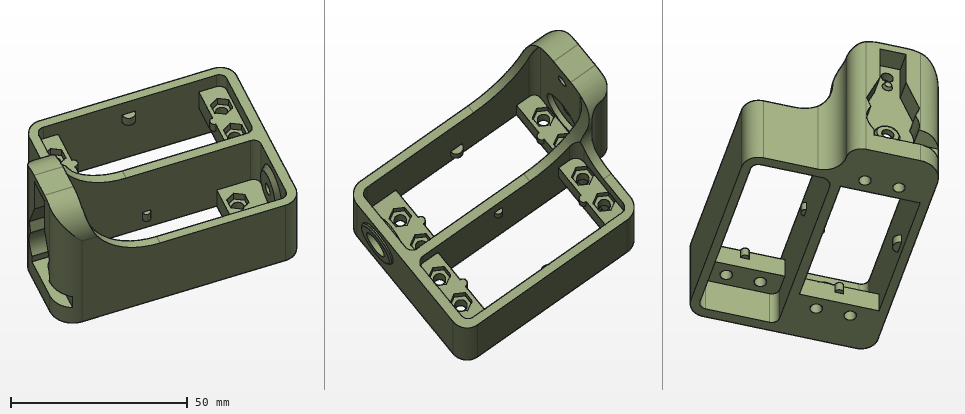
import cadquery as cq
import math


width = 55.0
body_front = 11.0
body_back = 74.0
body_height = 24.0
corner_radius = 5.0

tower_height = 46.0
tower_left = 27.5
tower_left_radius = 4.5
tower_right_radius = 7.0
blend_radius = body_front - tower_left_radius
shoulder_radius = (tower_height - body_height) / 2
shoulder_x = 25.0
tower_back = 8.8
sweep_radius = tower_height - body_height

bay_width = 23.4
bay_back = 71.0
bay_corner_radius = 2.3
bay_divider_corner_radius = 3.0
bay_offset = 13.15
bay_stagger = 5.0
right_bay_front = tower_back
right_bay_middle = 37.0
opening_length = 42.8
ledge_thickness = 7.0
left_ledge_top = 19.0
right_ledge_top = ledge_thickness
left_side = -1
right_side = 1

screw_hole = 3.5
screw_pitch_x = 10.0
screw_pitch_y = 50.8
screw_group_offset = 12.5
nut_across_flats = 5.5
nut_depth = 2.5

pin_diameter = 2.5
wide_pin_diameter = 4.0
pin_length = 3.0

axis_x = 40.0
axis_z = 14.5
horn_wall = 2.7
horn_depth = tower_back - horn_wall
horn_top = 43.4
horn_neck_half = 3.8
horn_neck_bottom = 31.6
horn_shoulder_half = 7.75
horn_shoulder_z = 21.9
horn_waist_half = 6.55
horn_waist_z = 18.4
horn_foot_half = 5.6
horn_foot_top = 9.15
horn_bottom = 6.8
horn_hub_radius = 7.75

hub_diameter = 7.5
hub_height = 0.7
hub_taper = 0.5
tip_hole_z = 39.0
stud_z = 35.0
stud_diameter = 3.0
stud_height = 1.0
stud_taper = 0.5

channel_depth = 4.4
channel_front_top = 12.7
channel_back_top = 11.4

boss_diameter = 14.0
boss_outer_height = 1.0
boss_outer_chamfer = 0.5
boss_inner_height = 1.5
boss_inner_taper = 1.5

tower_counterbore_diameter = boss_diameter
tower_counterbore_depth = 1.7
boss_counterbore_diameter = 8.2
boss_counterbore_depth = 4.0


def block(x0, x1, y0, y1, z0, z1):
    """Box between two opposite corners."""
    return cq.Workplane("XY").box(x1 - x0, y1 - y0, z1 - z0, centered=False).translate((x0, y0, z0))


def rod(diameter, x, y0, y1, z):
    """Cylinder along Y from y0 to y1."""
    axis = cq.Vector(0, 1, 0)
    return cq.Workplane(cq.Solid.makeCylinder(diameter / 2, y1 - y0, cq.Vector(x, y0, z), axis))


def cone_toward_front(base_diameter, taper, height, x, y, z):
    """Frustum standing on a wall face at y, narrowing by the taper per side toward -Y."""
    base_radius = base_diameter / 2
    top_radius = base_radius - taper
    axis = cq.Vector(0, -1, 0)
    return cq.Workplane(cq.Solid.makeCone(base_radius, top_radius, height, cq.Vector(x, y, z), axis))


def plan_outline():
    """Full-height prism of the box and tower, joined by an S-shaped blend."""
    blend_x = tower_left - blend_radius
    tower_flat = tower_left + tower_left_radius
    outline = (
        cq.Workplane("XY")
        .moveTo(corner_radius, body_front)
        .lineTo(blend_x, body_front)
        .radiusArc((tower_left, tower_left_radius), blend_radius)
        .radiusArc((tower_flat, 0), -tower_left_radius)
        .lineTo(width - tower_right_radius, 0)
        .radiusArc((width, tower_right_radius), -tower_right_radius)
        .lineTo(width, body_back - corner_radius)
        .radiusArc((width - corner_radius, body_back), -corner_radius)
        .lineTo(corner_radius, body_back)
        .radiusArc((0, body_back - corner_radius), -corner_radius)
        .lineTo(0, body_front + corner_radius)
        .radiusArc((corner_radius, body_front), -corner_radius)
        .close()
    )
    return outline.extrude(tower_height)


def front_silhouette():
    """Low box rising over an S-curve to the rounded tower, extruded along Y."""
    r = shoulder_radius
    middle_z = body_height + r
    profile = (
        cq.Workplane("XZ")
        .lineTo(width, 0)
        .lineTo(width, middle_z)
        .radiusArc((width - r, tower_height), -r)
        .lineTo(shoulder_x + r, tower_height)
        .radiusArc((shoulder_x, middle_z), -r)
        .radiusArc((shoulder_x - r, body_height), r)
        .lineTo(0, body_height)
        .close()
    )
    return profile.extrude(-body_back)


def side_silhouette():
    """Tower sweeping down in a quarter circle to the box rim, extruded along X."""
    profile = (
        cq.Workplane("YZ")
        .lineTo(body_back, 0)
        .lineTo(body_back, body_height)
        .lineTo(tower_back + sweep_radius, body_height)
        .radiusArc((tower_back, tower_height), sweep_radius)
        .lineTo(0, tower_height)
        .close()
    )
    return profile.extrude(width)


def bay_center_x(side):
    """X of a bay's middle plane."""
    return width / 2 + side * bay_offset


def bay_space(side, front, z0, z1):
    """Rounded rectangular space of one bay; its front corner at the divider has a larger radius."""
    x = bay_center_x(side)
    half = bay_width / 2
    space = block(x - half, x + half, front, bay_back, z0, z1)
    divider_edge = "<X" if side == right_side else ">X"
    outer_edge = ">X" if side == right_side else "<X"
    space = space.faces("<Y").edges(divider_edge).fillet(bay_divider_corner_radius)
    space = space.faces("<Y").edges(outer_edge).fillet(bay_corner_radius)
    return space.faces(">Y").edges("|Z").fillet(bay_corner_radius)


def bay_ledges(side, front, middle, top):
    """Two drilled ledges and four locating pins; the wide pin is on the outer wall."""
    x = bay_center_x(side)
    bottom = top - ledge_thickness
    half_x = bay_width / 2
    half_y = opening_length / 2
    opening = block(x - half_x, x + half_x, middle - half_y, middle + half_y, bottom, top)
    ledges = bay_space(side, front, bottom, top).cut(opening)

    screw_x = width / 2 + side * screw_group_offset
    screws = cq.Workplane("XY", origin=(screw_x, middle, top)).rarray(screw_pitch_x, screw_pitch_y, 2, 2)
    nut_across_corners = nut_across_flats / math.cos(math.pi / 6)
    ledges = ledges.cut(screws.circle(screw_hole / 2).extrude(-ledge_thickness))
    ledges = ledges.cut(screws.polygon(6, nut_across_corners).extrude(-nut_depth))

    pins = cq.Workplane("XY", origin=(x, middle, top))
    narrow = pins.pushPoints([(0, half_y), (0, -half_y), (-side * half_x, 0)])
    wide = pins.center(side * half_x, 0)
    ledges = ledges.union(narrow.circle(pin_diameter / 2).extrude(-pin_length))
    return ledges.union(wide.circle(wide_pin_diameter / 2).extrude(-pin_length))


def horn_recess():
    """Horn-shaped pocket in the tower's front face."""
    profile = (
        cq.Workplane("XZ")
        .moveTo(axis_x - horn_neck_half, horn_top)
        .lineTo(axis_x + horn_neck_half, horn_top)
        .lineTo(axis_x + horn_neck_half, horn_neck_bottom)
        .lineTo(axis_x + horn_shoulder_half, horn_shoulder_z)
        .lineTo(axis_x + horn_waist_half, horn_waist_z)
        .threePointArc((axis_x + horn_hub_radius, axis_z), (axis_x + horn_foot_half, horn_foot_top))
        .lineTo(axis_x + horn_foot_half, horn_bottom)
        .lineTo(axis_x - horn_foot_half, horn_bottom)
        .lineTo(axis_x - horn_foot_half, horn_foot_top)
        .threePointArc((axis_x - horn_hub_radius, axis_z), (axis_x - horn_waist_half, horn_waist_z))
        .lineTo(axis_x - horn_shoulder_half, horn_shoulder_z)
        .lineTo(axis_x - horn_neck_half, horn_neck_bottom)
        .close()
    )
    return profile.extrude(-horn_depth)


def horn_channel():
    """Slot with a sloping roof from the recess out through the rounded right corner."""
    profile = (
        cq.Workplane("YZ", origin=(axis_x, 0, 0))
        .moveTo(0, horn_bottom)
        .lineTo(channel_depth, horn_bottom)
        .lineTo(channel_depth, channel_back_top)
        .lineTo(0, channel_front_top)
        .close()
    )
    return profile.extrude(width - axis_x)


def recess_bosses():
    """Conical hub and stud standing on the recess floor."""
    hub = cone_toward_front(hub_diameter, hub_taper, hub_height, axis_x, horn_depth, axis_z)
    stud = cone_toward_front(stud_diameter, stud_taper, stud_height, axis_x, horn_depth, stud_z)
    return hub.union(stud)


def bearing_boss():
    """Chamfered disc outside the back wall and a cone inside it, on the output axis."""
    outer = rod(boss_diameter, axis_x, body_back, body_back + boss_outer_height, axis_z)
    inner = cone_toward_front(
        boss_diameter, boss_inner_taper, boss_inner_height, axis_x, bay_back, axis_z
    )
    return outer.faces(">Y").chamfer(boss_outer_chamfer).union(inner)


def axis_holes():
    """Holes on the output axis, counterbored from behind, and the hole at the horn tip."""
    boss_back = body_back + boss_outer_height
    holes = rod(screw_hole, axis_x, 0, boss_back, axis_z)
    tower_bore_front = tower_back - tower_counterbore_depth
    holes = holes.union(rod(tower_counterbore_diameter, axis_x, tower_bore_front, tower_back, axis_z))
    boss_bore_front = boss_back - boss_counterbore_depth
    holes = holes.union(rod(boss_counterbore_diameter, axis_x, boss_bore_front, boss_back, axis_z))
    return holes.union(rod(screw_hole, axis_x, 0, tower_back, tip_hole_z))


result = plan_outline().intersect(front_silhouette()).intersect(side_silhouette())
bays = (
    (left_side, right_bay_front + bay_stagger, right_bay_middle + bay_stagger, left_ledge_top),
    (right_side, right_bay_front, right_bay_middle, right_ledge_top),
)
for side, front, middle, ledge_top in bays:
    result = result.cut(bay_space(side, front, 0, tower_height))
    result = result.union(bay_ledges(side, front, middle, ledge_top))
result = result.cut(horn_recess()).cut(horn_channel())
result = result.union(recess_bosses()).union(bearing_boss())
result = result.cut(axis_holes())